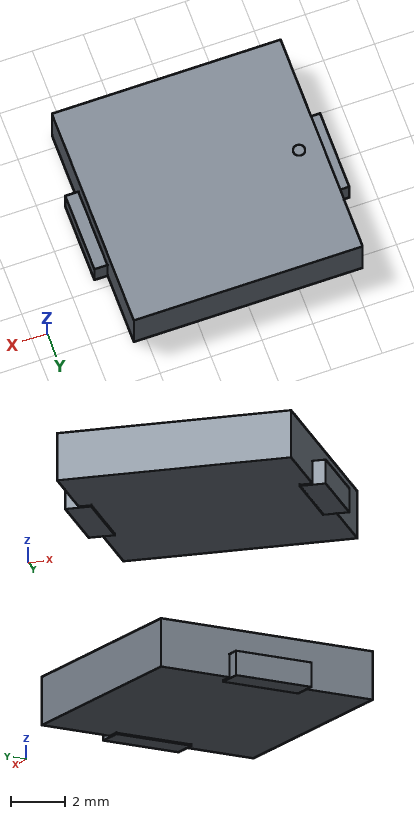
import cadquery as cq

overall_length = 10.01
overall_height = 1.91
case_side = 8.99
standoff = 0.05

terminal_length = 1.0
terminal_width = 3.19
terminal_height = 0.94

mark_diameter = 0.45
mark_depth = 0.05
mark_x = -3.6


def make_terminal(side):
    """Terminal block at the -X end (side = -1) or the +X end (side = 1)."""
    center_x = side * (overall_length - terminal_length) / 2
    return (
        cq.Workplane("XY")
        .center(center_x, 0)
        .box(terminal_length, terminal_width, terminal_height, centered=(True, True, False))
    )


def make_mark():
    """Disc whose upper face is level with the top of the case."""
    return (
        cq.Workplane("XY", origin=(mark_x, 0, overall_height - mark_depth))
        .circle(mark_diameter / 2)
        .extrude(mark_depth)
    )


def make_case(inserts):
    """Square case with a matching recess for each inserted body."""
    case = (
        cq.Workplane("XY", origin=(0, 0, standoff))
        .box(case_side, case_side, overall_height - standoff, centered=(True, True, False))
    )
    for insert in inserts:
        case = case.cut(insert)
    return case


terminals = [make_terminal(side) for side in (-1, 1)]
mark = make_mark()
case = make_case([*terminals, mark])

result = cq.Compound.makeCompound(
    [case.solids().val(), mark.val(), *[terminal.val() for terminal in terminals]]
)